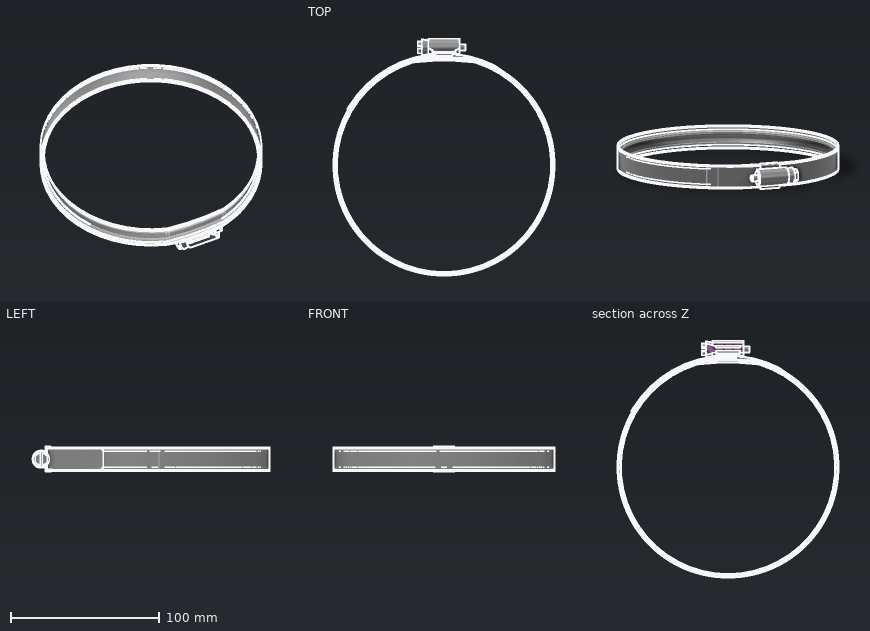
import cadquery as cq
import math


ring_radius = 74.6
band_thickness = 0.6
band_width = 14.1
tail_gap = 0.05
liner_thickness = 0.5
liner_width = 16.0
bead_height = 1.4

bridge_start = 17.5
bridge_half_angle = 7.0
corner_radius = 10.0

band_start = 90.0
step_start = 360.0 + 57.0
step_end = 360.0 + 63.0
band_end = 360.0 + 150.0
tail_corner_radius = 2.2

overall_top = 85.2
tunnel_radius = 5.9
bore_radius = 4.4
tunnel_length = 21.0
saddle_width = 17.3
saddle_wall = 0.6
saddle_bend_radius = 0.8
floor_thickness = 0.8
roof_top = 76.5
roof_thickness = 1.1
roof_half_length = 7.0
floor_half_length = 5.2
skirt_bottom = 79.0

worm_radius = 3.9
collar_length = 2.5
flange_length = 4.4
flange_rim_radius = 5.5
flange_back_radius = 4.7
hex_across_flats = 8.2
hex_height = 2.9
slot_width = 1.5
tip_radius = 2.2
tip_length = 4.2
tip_chamfer = 0.5

band_inner = ring_radius - band_thickness
flange_inner = band_inner - liner_thickness
bead_radius = flange_inner - bead_height
screw_y = overall_top - tunnel_radius
half_tunnel = tunnel_length / 2


lip_thickness = 0.45
lip_bend_radius = 0.5
bead_root_z = 5.3
bead_crest_outer_z = 4.2
bead_crest_inner_z = 3.1
bead_shoulder = 0.2
valley_clearance = 0.1


def liner_section(shift):
    """Half-plane section of the liner; shift moves it in radius for the bridge arcs."""
    lip = ring_radius + shift
    flange = flange_inner + shift
    crest = bead_radius + shift
    shoulder = crest + bead_shoulder
    valley = flange - valley_clearance
    top = liner_width / 2
    groove = top - lip_thickness
    crest_z = (bead_crest_outer_z + bead_crest_inner_z) / 2
    t = liner_thickness
    bend = lip_bend_radius
    bend_mid = bend * (1 - math.sqrt(0.5))
    return (
        cq.Workplane("XZ")
        .moveTo(lip, top)
        .lineTo(flange + bend, top)
        .threePointArc((flange + bend_mid, top - bend_mid), (flange, top - bend))
        .lineTo(flange, bead_root_z)
        .lineTo(shoulder, bead_crest_outer_z)
        .threePointArc((crest, crest_z), (shoulder, bead_crest_inner_z))
        .threePointArc((valley, 0), (shoulder, -bead_crest_inner_z))
        .threePointArc((crest, -crest_z), (shoulder, -bead_crest_outer_z))
        .lineTo(flange, -bead_root_z)
        .lineTo(flange, -top + bend)
        .threePointArc((flange + bend_mid, -top + bend_mid), (flange + bend, -top))
        .lineTo(lip, -top)
        .lineTo(lip, -groove)
        .lineTo(flange + t, -groove)
        .lineTo(flange + t, -bead_root_z)
        .lineTo(shoulder + t, -bead_crest_outer_z)
        .threePointArc((crest + t, -crest_z), (shoulder + t, -bead_crest_inner_z))
        .threePointArc((valley + t, 0), (shoulder + t, bead_crest_inner_z))
        .threePointArc((crest + t, crest_z), (shoulder + t, bead_crest_outer_z))
        .lineTo(flange + t, bead_root_z)
        .lineTo(flange + t, groove)
        .lineTo(lip, groove)
        .close()
    )


def liner_arc(crest_radius, center, start, sweep):
    """Stretch of liner about a Z axis through center, from angle start over sweep degrees."""
    section = liner_section(crest_radius - bead_radius)
    arc = section.revolve(sweep, (0, 0, 0), (0, 1, 0))
    return arc.rotate((0, 0, 0), (0, 0, 1), start).translate((center[0], center[1], 0))


corner_offset = bead_radius - corner_radius
corner_x = corner_offset * math.sin(math.radians(bridge_start))
corner_y = corner_offset * math.cos(math.radians(bridge_start))
flat_offset = corner_x / math.sin(math.radians(bridge_half_angle))
flat_radius = corner_radius + flat_offset
flat_center_y = corner_y - flat_offset * math.cos(math.radians(bridge_half_angle))
corner_sweep = bridge_start - bridge_half_angle

liner = (
    liner_arc(bead_radius, (0, 0), 90 + bridge_start, 360 - 2 * bridge_start)
    .union(liner_arc(corner_radius, (corner_x, corner_y), 90 - bridge_start, corner_sweep))
    .union(liner_arc(corner_radius, (-corner_x, corner_y), 90 + bridge_half_angle, corner_sweep))
    .union(liner_arc(flat_radius, (0, flat_center_y), 90 - bridge_half_angle, 2 * bridge_half_angle))
)
bridge_top = flat_center_y + flat_radius + ring_radius - bead_radius


def polar(radius, angle):
    return (radius * math.cos(math.radians(angle)), radius * math.sin(math.radians(angle)))


def arc_to(outline, radius, start, end):
    return outline.threePointArc(polar(radius, (start + end) / 2), polar(radius, end))


tail_inner = ring_radius + tail_gap
tail_outer = tail_inner + band_thickness
half_lap = 180.0

outline = cq.Workplane("XY").workplane(offset=-band_width / 2).moveTo(*polar(ring_radius, band_start))
outline = arc_to(outline, ring_radius, band_start, half_lap)
outline = arc_to(outline, ring_radius, half_lap, step_start)
outline = outline.lineTo(*polar(tail_outer, step_end))
outline = arc_to(outline, tail_outer, step_end, band_end)
outline = outline.lineTo(*polar(tail_inner, band_end))
outline = arc_to(outline, tail_inner, band_end, step_end)
outline = outline.lineTo(*polar(band_inner, step_start))
outline = arc_to(outline, band_inner, step_start, half_lap)
outline = arc_to(outline, band_inner, half_lap, band_start)
band = outline.close().extrude(band_width)

tail_tip = polar((tail_inner + tail_outer) / 2, band_end)
tip_corners = [
    cq.selectors.NearestToPointSelector((tail_tip[0], tail_tip[1], side * band_width / 2))
    for side in (-1, 1)
]
band = band.edges(tip_corners[0] + tip_corners[1]).fillet(tail_corner_radius)


floor_top = bridge_top + floor_thickness
roof_bottom = roof_top - roof_thickness


def along_screw(start):
    """Sketch plane across the screw: local x is +Y, local y is +Z, normal +X."""
    return cq.Workplane("YZ", origin=(start, 0, 0))


saddle = (
    along_screw(-half_tunnel)
    .center((bridge_top + roof_top) / 2, 0)
    .rect(roof_top - bridge_top, saddle_width)
    .extrude(tunnel_length)
    .edges("|X")
    .fillet(saddle_bend_radius)
)
band_channel = (
    along_screw(-half_tunnel)
    .center((floor_top + roof_bottom) / 2, 0)
    .rect(roof_bottom - floor_top, saddle_width - 2 * saddle_wall)
    .extrude(tunnel_length)
)
tunnel = along_screw(-half_tunnel).center(screw_y, 0).circle(tunnel_radius).extrude(tunnel_length)
bore = along_screw(-half_tunnel).center(screw_y, 0).circle(bore_radius).extrude(tunnel_length)
side_outline = (
    cq.Workplane("XY")
    .workplane(offset=-saddle_width / 2)
    .moveTo(-half_tunnel, overall_top)
    .lineTo(half_tunnel, overall_top)
    .lineTo(half_tunnel, skirt_bottom)
    .lineTo(roof_half_length, roof_top)
    .lineTo(floor_half_length, bridge_top)
    .lineTo(-floor_half_length, bridge_top)
    .lineTo(-roof_half_length, roof_top)
    .lineTo(-half_tunnel, skirt_bottom)
    .close()
    .extrude(saddle_width)
)
housing = saddle.union(tunnel).cut(band_channel).cut(bore).intersect(side_outline)


flange_start = -half_tunnel - flange_length
tip_end = half_tunnel + tip_length
worm_end = half_tunnel - collar_length
turned_body = (
    cq.Workplane("XY", origin=(0, screw_y, 0))
    .moveTo(flange_start, 0)
    .lineTo(flange_start, flange_rim_radius)
    .lineTo(-half_tunnel, flange_back_radius)
    .lineTo(-half_tunnel, bore_radius)
    .lineTo(-worm_end, bore_radius)
    .lineTo(-worm_end, worm_radius)
    .lineTo(worm_end, worm_radius)
    .lineTo(worm_end, bore_radius)
    .lineTo(half_tunnel, bore_radius)
    .lineTo(half_tunnel, tip_radius)
    .lineTo(tip_end - tip_chamfer, tip_radius)
    .lineTo(tip_end, tip_radius - tip_chamfer)
    .lineTo(tip_end, 0)
    .close()
    .revolve(360, (0, 0, 0), (1, 0, 0))
)
hex_across_corners = hex_across_flats / math.cos(math.radians(30))
hex_head = (
    along_screw(flange_start - hex_height)
    .center(screw_y, 0)
    .transformed(rotate=(0, 0, 90))
    .polygon(6, hex_across_corners)
    .extrude(hex_height)
)
slot = (
    along_screw(flange_start - hex_height)
    .center(screw_y, 0)
    .rect(slot_width, hex_across_corners)
    .extrude(hex_height)
)
screw = turned_body.union(hex_head.cut(slot))

result = cq.Compound.makeCompound([liner.val(), band.val(), housing.val(), screw.val()])